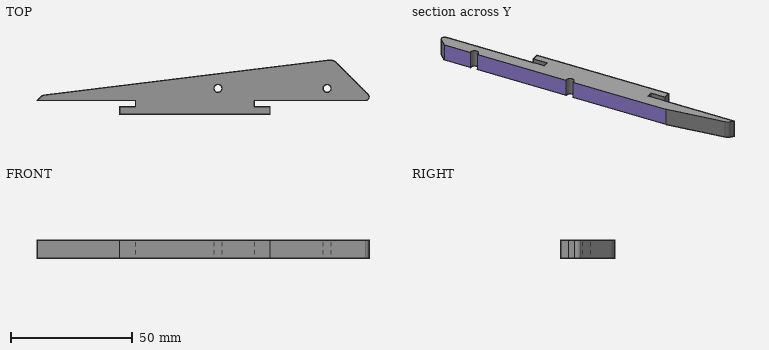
import cadquery as cq
import math

length = 136.88
height = 22.46
thickness = 7.5

foot_start = 34.0
foot_length = 62.0
foot_height = 3.25
neck_length = 49.0
slot_height = 2.5

top_slope = math.radians(7.0)
tail_slope = math.radians(45.0)
nose_slope = math.radians(48.0)
apex_radius = 4.0
tail_radius = 1.5
nose_radius = 3.0

hole_diameter = 3.2
hole_rise = 5.0
first_hole_x = 74.5
hole_spacing = 45.0

blade_base = foot_height + slot_height
foot_end = foot_start + foot_length
neck_start = foot_start + (foot_length - neck_length) / 2
neck_end = neck_start + neck_length


def crossing(point_a, angle_a, point_b, angle_b):
    """Point where two lines, each given by a point and a direction angle, meet."""
    dx = point_b[0] - point_a[0]
    dy = point_b[1] - point_a[1]
    distance = (dx * math.sin(angle_b) - dy * math.cos(angle_b)) / math.sin(angle_b - angle_a)
    return (point_a[0] + distance * math.cos(angle_a), point_a[1] + distance * math.sin(angle_a))


def blade_corners():
    """Sharp nose, apex and tail corners; their rounds just reach the overall length and height."""
    tail_x = length - tail_radius + tail_radius / math.tan(tail_slope / 2)
    tail = (tail_x, blade_base)

    apex_center_y = height - apex_radius
    tail_face_x = tail_x - (apex_center_y - blade_base) / math.tan(tail_slope)
    apex_center_x = tail_face_x - apex_radius / math.sin(tail_slope)
    top_tangent = (
        apex_center_x - apex_radius * math.sin(top_slope),
        apex_center_y + apex_radius * math.cos(top_slope),
    )

    apex = crossing(top_tangent, top_slope, tail, -tail_slope)
    nose = crossing((0, blade_base), nose_slope, top_tangent, top_slope)
    return nose, apex, tail


def round_corner(body, corner, radius):
    """Round the upright edge that stands at a corner of the outline."""
    x, y = corner
    edge = cq.selectors.NearestToPointSelector((x, y, thickness / 2))
    return body.edges("|Z").edges(edge).fillet(radius)


def make_body():
    nose, apex, tail = blade_corners()
    outline = [
        (0, blade_base),
        (neck_start, blade_base),
        (neck_start, foot_height),
        (foot_start, foot_height),
        (foot_start, 0),
        (foot_end, 0),
        (foot_end, foot_height),
        (neck_end, foot_height),
        (neck_end, blade_base),
        tail,
        apex,
        nose,
    ]
    body = cq.Workplane("XY").polyline(outline).close().extrude(thickness)
    body = round_corner(body, nose, nose_radius)
    body = round_corner(body, apex, apex_radius)
    return round_corner(body, tail, tail_radius)


def make_holes():
    hole_y = blade_base + hole_rise
    centers = [(first_hole_x, hole_y), (first_hole_x + hole_spacing, hole_y)]
    return cq.Workplane("XY").pushPoints(centers).circle(hole_diameter / 2).extrude(thickness)


result = make_body().cut(make_holes())